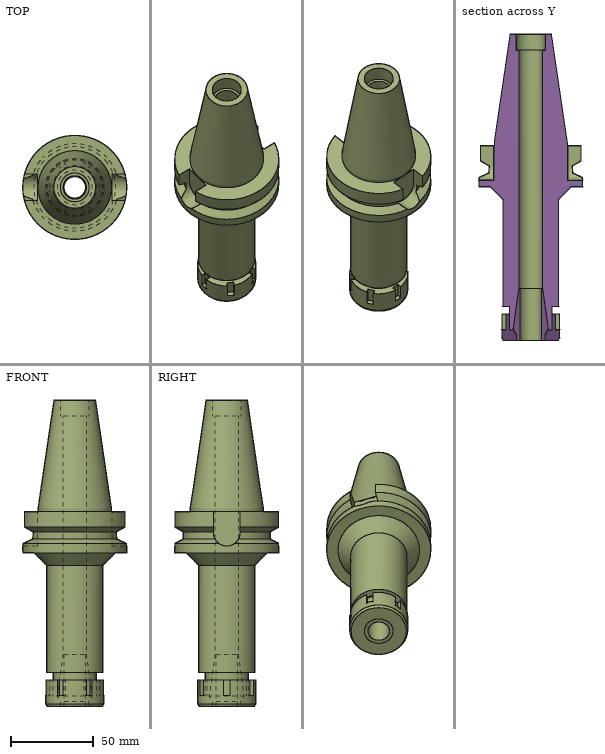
import cadquery as cq

total_height = 185.4
nut_height = 16.1
body_bottom_z = 20.5
body_top_z = 85.5
flange_bottom_z = 93.0
lower_lip_top_z = 98.8
groove_bottom_z = 101.5
groove_top_z = 105.7
upper_lip_bottom_z = 108.6
flange_top_z = 118.0
gauge_z = 120.0

taper_small_radius = 12.6
gauge_radius = 22.2
flange_radius = 31.5
groove_radius = 26.5
body_radius = 17.0
neck_radius = 13.2
shoulder_radius = body_radius + flange_bottom_z - body_top_z

mouth_radius = 8.7
mouth_depth = 9.6
rear_bore_radius = 7.0

drive_slot_width = 16.1
drive_slot_bottom_z = 97.1
drive_slot_floor = 22.5

collet_bore_radius = 6.5
collet_length = 31.5
collet_shoulder_radius = 10.5
collet_face_radius = 8.7
collet_face_height = 3.2
nose_z = 6.3

nut_radius = 17.6
nut_chamfer_width = 1.0
nut_chamfer_height = 1.7
wrench_slot_count = 6
wrench_slot_width = 4.0
wrench_slot_height = 9.5
wrench_slot_floor = 15.0


def revolved(profile):
    """Solid of revolution about Z from a closed (radius, z) outline."""
    return cq.Workplane("XZ").polyline(profile).close().revolve(360, (0, 0), (0, 1))


def drive_slot_cutter():
    """Slot with a round bottom, running outward along +X from its flat floor."""
    half_width = drive_slot_width / 2
    arc_center_z = drive_slot_bottom_z + half_width
    return (
        cq.Workplane("YZ", origin=(drive_slot_floor, 0, 0))
        .moveTo(-half_width, flange_top_z)
        .lineTo(-half_width, arc_center_z)
        .threePointArc((0, drive_slot_bottom_z), (half_width, arc_center_z))
        .lineTo(half_width, flange_top_z)
        .close()
        .extrude(flange_radius)
    )


def make_holder():
    """Taper shank, grooved flange and body with a through bore and a tapered collet seat."""
    holder = revolved([
        (collet_shoulder_radius, nose_z),
        (neck_radius, nose_z),
        (neck_radius, body_bottom_z),
        (body_radius, body_bottom_z),
        (body_radius, body_top_z),
        (shoulder_radius, flange_bottom_z),
        (flange_radius, flange_bottom_z),
        (flange_radius, lower_lip_top_z),
        (groove_radius, groove_bottom_z),
        (groove_radius, groove_top_z),
        (flange_radius, upper_lip_bottom_z),
        (flange_radius, flange_top_z),
        (gauge_radius, flange_top_z),
        (gauge_radius, gauge_z),
        (taper_small_radius, total_height),
        (mouth_radius, total_height),
        (mouth_radius, total_height - mouth_depth),
        (rear_bore_radius, total_height - mouth_depth),
        (rear_bore_radius, collet_length),
    ])
    for angle in (0, 180):
        holder = holder.cut(drive_slot_cutter().rotate((0, 0, 0), (0, 0, 1), angle))
    return holder


def make_collet():
    """Double-tapered sleeve held between the holder seat and the nut."""
    return revolved([
        (collet_bore_radius, 0),
        (collet_face_radius, 0),
        (collet_face_radius, collet_face_height),
        (collet_shoulder_radius, nose_z),
        (rear_bore_radius, collet_length),
        (collet_bore_radius, collet_length),
    ])


def make_nut():
    """Ring around the holder neck and the collet front, with open-topped wrench slots."""
    nut = revolved([
        (collet_face_radius, 0),
        (nut_radius - nut_chamfer_width, 0),
        (nut_radius, nut_chamfer_height),
        (nut_radius, nut_height),
        (neck_radius, nut_height),
        (neck_radius, nose_z),
        (collet_shoulder_radius, nose_z),
        (collet_face_radius, collet_face_height),
    ])
    slot_cutter = (
        cq.Workplane("XY", origin=(wrench_slot_floor, 0, nut_height - wrench_slot_height))
        .box(nut_radius, wrench_slot_width, wrench_slot_height, centered=(False, True, False))
    )
    for index in range(wrench_slot_count):
        angle = index * 360 / wrench_slot_count
        nut = nut.cut(slot_cutter.rotate((0, 0, 0), (0, 0, 1), angle))
    return nut


holder = make_holder()
collet = make_collet()
nut = make_nut()

result = cq.Compound.makeCompound([holder.val(), collet.val(), nut.val()])